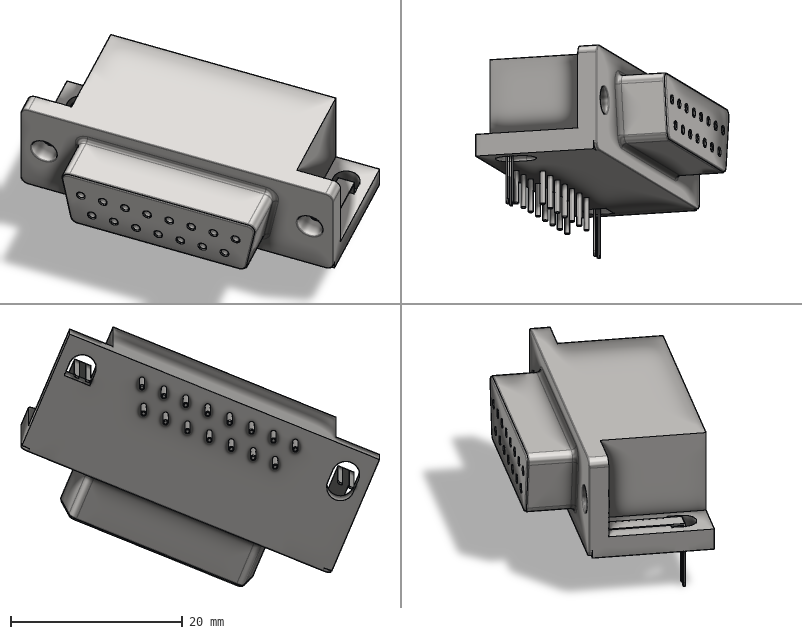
import cadquery as cq
import math

width = 39.2
height = 12.5
depth_behind_face = 14.9

face_tolerance = 0.05

flange_depth = 2.35
plate_thickness = 0.4
plate_corner_radius = 0.98
plate_edge_radius = 0.098

block_width = 28.22
shelf_height = 2.6

shell_length = 6.05
shell_bottom = 2.35
shell_top = 10.25
shell_top_width = 24.7
shell_side_angle = 10.0
shell_corner_radius = 0.98
shell_root_radius = 0.6
shell_tip_radius = 0.1
insert_length = 0.2

row_spacing = 2.82
top_row_count = 8
bottom_row_count = top_row_count - 1
top_row_span = 19.4
contact_pitch = top_row_span / (top_row_count - 1)
top_row_z = 7.35
socket_diameter = 0.85
socket_depth = 4.7
socket_chamfer = 0.1
pin_diameter = 0.63
pin_length = 3.92
pin_tip_chamfer = 0.1
back_pin_y = 13.1

mount_x = 16.65
mount_z = 6.3
mount_hole_diameter = 3.2
slot_width = 3.2
slot_back_y = 11.7
slot_front_y = 10.07
washer_diameter = 4.0
sheet_thickness = 0.25
sheet_offset = 0.1
bend_radius = 0.1
strap_width = 2.05
strap_top_z = 4.65
leg_back_y = 11.8
leg_bottom_z = -5.4
leg_gap = 0.85
leg_taper_width = 0.15
leg_taper_height = 0.6


def box(x_min, x_max, y_min, y_max, z_min, z_max):
    """Box given by its limits along each axis."""
    size = (x_max - x_min, y_max - y_min, z_max - z_min)
    return cq.Workplane("XY").box(*size, centered=False).translate((x_min, y_min, z_min))


def row_positions(count):
    """X positions of one centred row of contacts."""
    return [(i - (count - 1) / 2) * contact_pitch for i in range(count)]


def make_housing():
    block = box(-block_width / 2, block_width / 2, plate_thickness, depth_behind_face, 0, height)
    shelf = box(-width / 2, width / 2, plate_thickness, depth_behind_face, 0, shelf_height)
    backing = box(-width / 2, width / 2, plate_thickness, flange_depth, 0, height)
    backing = backing.edges("|Y and >Z").fillet(plate_corner_radius)
    plate = box(-width / 2, width / 2, 0, plate_thickness, 0, height)
    plate = plate.edges("|Y").fillet(plate_corner_radius)
    plate = plate.faces("<Y").edges().fillet(plate_edge_radius)
    return block.union(shelf).union(backing).union(plate)


def make_shell():
    """D-shaped shell, wider at the top, with rounded corners, rim and insert."""
    side_run = (shell_top - shell_bottom) * math.tan(math.radians(shell_side_angle))
    top_half = shell_top_width / 2
    bottom_half = top_half - side_run
    outline = [
        (-top_half, shell_top),
        (top_half, shell_top),
        (bottom_half, shell_bottom),
        (-bottom_half, shell_bottom),
    ]
    shell = cq.Workplane("XZ", origin=(0, plate_thickness, 0)).polyline(outline).close()
    shell = shell.extrude(plate_thickness + shell_length - insert_length)
    shell = shell.edges("not(#Y)").fillet(shell_corner_radius)
    shell = shell.faces("<Y").edges().fillet(shell_tip_radius)
    shell = shell.faces("<Y").wires().toPending().workplane().extrude(insert_length)
    return shell.faces("<Y").edges().fillet(shell_tip_radius)


def face_edges(body, x_center, half_width, z_min, z_max):
    """Edges on the front face of the flange, centred within a rectangle."""
    region = cq.selectors.BoxSelector(
        (x_center - half_width, -face_tolerance, z_min),
        (x_center + half_width, face_tolerance, z_max),
    )
    return body.edges(region)


def fillet_shell_root(body):
    """Blend the shell into the front face of the flange."""
    root = face_edges(
        body,
        0,
        shell_top_width / 2,
        shell_bottom - face_tolerance,
        shell_top + face_tolerance,
    )
    return root.fillet(shell_root_radius)


def drill_mounting_hole(body, x):
    """Through hole in flange and washer, with a rounded mouth at the front."""
    radius = mount_hole_diameter / 2
    hole = cq.Workplane("XZ", origin=(x, 0, mount_z)).circle(radius)
    body = body.cut(hole.extrude(-flange_depth - sheet_offset - sheet_thickness))
    mouth = face_edges(body, x, radius, mount_z - radius, mount_z + radius)
    return mouth.fillet(plate_edge_radius)


def make_socket(x, z):
    """Blind contact hole with a chamfered mouth, as a cutting body."""
    mouth = cq.Workplane("XZ", origin=(x, -shell_length, z))
    hole = mouth.circle(socket_diameter / 2).extrude(-socket_depth)
    cone = mouth.circle(socket_diameter / 2 + socket_chamfer)
    cone = cone.workplane(offset=-socket_chamfer).circle(socket_diameter / 2).loft()
    return hole.union(cone)


def make_pin(x, y):
    pin = cq.Workplane("XY", origin=(x, y, -pin_length)).circle(pin_diameter / 2)
    pin = pin.extrude(pin_length + shelf_height / 2)
    return pin.faces("<Z").chamfer(pin_tip_chamfer)


def make_slot(x, rounded_front):
    """Shelf slot with a round back end and a round or square front end."""
    slot = box(x - slot_width / 2, x + slot_width / 2, slot_front_y, slot_back_y, 0, shelf_height)
    end_centers = [slot_back_y, slot_front_y] if rounded_front else [slot_back_y]
    for y in end_centers:
        slot = slot.union(
            cq.Workplane("XY", origin=(x, y, 0)).circle(slot_width / 2).extrude(shelf_height)
        )
    return slot


def make_board_lock(x):
    """Washer behind the flange with a bent strap ending in two tapered legs."""
    half = strap_width / 2
    strap_top = shelf_height + sheet_offset
    strap_bottom = strap_top - sheet_thickness
    riser_front_y = flange_depth + sheet_offset
    riser_back_y = riser_front_y + sheet_thickness
    washer = cq.Workplane("XZ", origin=(x, flange_depth, mount_z)).circle(washer_diameter / 2)
    washer = washer.extrude(-sheet_thickness)
    riser = box(x - half, x + half, riser_front_y, riser_back_y, strap_bottom, strap_top_z)
    strap = box(x - half, x + half, riser_front_y, leg_back_y, strap_bottom, strap_top)

    taper_z = leg_bottom_z + leg_taper_height
    leg_outline = [
        (leg_gap / 2, strap_top),
        (half, strap_top),
        (half, taper_z),
        (half - leg_taper_width, leg_bottom_z),
        (leg_gap / 2, leg_bottom_z),
    ]
    leg = cq.Workplane("XZ", origin=(0, leg_back_y, 0)).polyline(leg_outline).close()
    leg = leg.extrude(sheet_thickness)
    legs = leg.union(leg.mirror("YZ")).translate((x, 0, 0))
    bent_strap = strap.union(legs).edges("|X and >Y and >Z").fillet(bend_radius)
    return bent_strap.union(riser).union(washer)


result = fillet_shell_root(make_housing().union(make_shell()))

for row, count in enumerate((top_row_count, bottom_row_count)):
    for x in row_positions(count):
        result = result.cut(make_socket(x, top_row_z - row * row_spacing))
        result = result.union(make_pin(x, back_pin_y - row * row_spacing))

for side in (-1, 1):
    x = side * mount_x
    result = result.cut(make_slot(x, rounded_front=side < 0))
    result = result.union(make_board_lock(x))
    result = drill_mounting_hole(result, x)